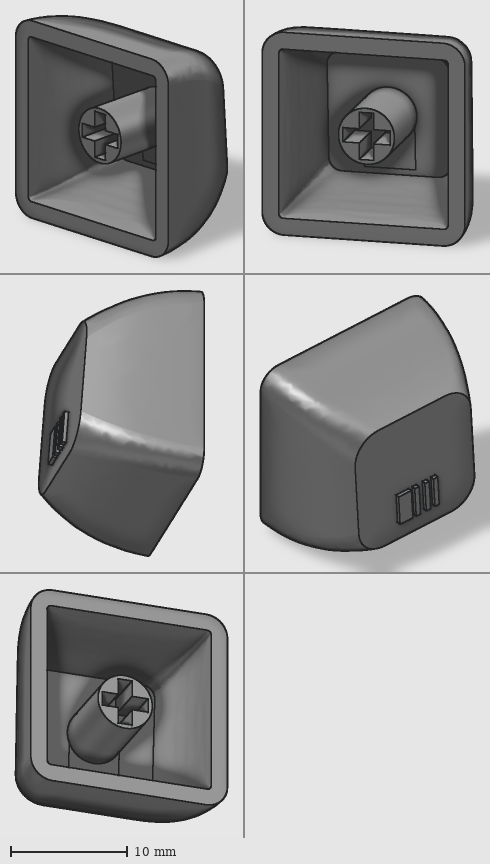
import cadquery as cq
import math


BASE_SIZE = 18.1
BASE_RADIUS = 2.0
TOP_SIZE = 12.67
TOP_RADIUS = 2.68
TOP_HEIGHT = 10.05
TOP_TILT = 4.0
SECTION_SHARES = (0.0, 0.5, 1.0)

WALL = 1.5
CAVITY_BASE_SIZE = BASE_SIZE - 2 * WALL
CAVITY_BASE_RADIUS = 0.4
CAVITY_TOP_SIZE = 10.86
CAVITY_TOP_RADIUS = 1.15
CAVITY_HEIGHT = TOP_HEIGHT - WALL / math.cos(math.radians(TOP_TILT))

STEM_DIAMETER = 5.0
STEM_RECESS = 1.0
CROSS_LENGTH = 4.2
CROSS_WIDTH = 1.27
CROSS_DEPTH = 3.98

INSERT_WIDTH = 4.6
INSERT_LENGTH = 4.89
INSERT_THICKNESS = WALL / 2
BAR_RISE = 0.36
BAR_LENGTH = 3.0
BAR_MIDDLE = 3.15
BARS = [(-1.9, 0.47), (-0.96, 0.47), (0.15, 0.47), (1.45, 1.4)]


def tilted_workplane(height, tilt):
    """Workplane on the stem axis; local x is +X, local y runs toward -Z."""
    angle = math.radians(tilt)
    normal = (0, math.cos(angle), math.sin(angle))
    return cq.Workplane(cq.Plane(origin=(0, height, 0), xDir=(1, 0, 0), normal=normal))


def rounded_square(size, radius, height, tilt):
    """Closed wire of a rounded square in a tilted plane."""
    square = tilted_workplane(height, tilt).rect(size, size).val()
    return square.fillet2D(radius, square.Vertices())


def crowned_loft(base_size, base_radius, top_size, top_radius, height):
    """Solid whose sides leave the rim square to it and lean in along parabolas."""
    wires = []
    for share in SECTION_SHARES:
        size = base_size + (top_size - base_size) * share**2
        radius = base_radius + (top_radius - base_radius) * share**2
        wires.append(rounded_square(size, radius, height * share, TOP_TILT * share))
    return cq.Workplane(cq.Solid.makeLoft(wires))


def make_stem():
    """Round stem with a blind cross socket, long enough to end inside the roof."""
    stem_length = CAVITY_HEIGHT + WALL / 2 - STEM_RECESS
    end_plane = tilted_workplane(STEM_RECESS, 0)
    stem = end_plane.circle(STEM_DIAMETER / 2).extrude(stem_length)
    across = end_plane.rect(CROSS_LENGTH, CROSS_WIDTH).extrude(CROSS_DEPTH)
    upright = end_plane.rect(CROSS_WIDTH, CROSS_LENGTH).extrude(CROSS_DEPTH)
    return stem.cut(across).cut(upright)


def make_insert():
    """Plate flush with the inner roof, with bars that pass through the top face."""
    roof = tilted_workplane(CAVITY_HEIGHT, TOP_TILT)
    plate_middle = roof.center(0, INSERT_LENGTH / 2)
    insert = plate_middle.rect(INSERT_WIDTH, INSERT_LENGTH).extrude(INSERT_THICKNESS)
    for bar_x, bar_width in BARS:
        bar = roof.center(bar_x, BAR_MIDDLE).rect(bar_width, BAR_LENGTH).extrude(WALL + BAR_RISE)
        insert = insert.union(bar)
    return insert


def make_cap(insert):
    """Shell and stem in one piece, with a matching recess for the insert."""
    outside = crowned_loft(BASE_SIZE, BASE_RADIUS, TOP_SIZE, TOP_RADIUS, TOP_HEIGHT)
    cavity = crowned_loft(
        CAVITY_BASE_SIZE, CAVITY_BASE_RADIUS, CAVITY_TOP_SIZE, CAVITY_TOP_RADIUS, CAVITY_HEIGHT
    )
    return outside.cut(cavity).union(make_stem()).cut(insert)


legend_insert = make_insert()
cap = make_cap(legend_insert)

result = cq.Compound.makeCompound([cap.val(), legend_insert.val()])